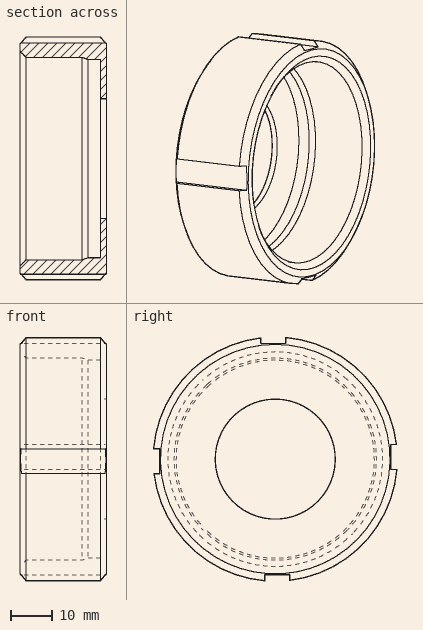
import cadquery as cq

WIDTH = 21.0
OUTER_RADIUS = 29.575
RIM_CHAMFER_LENGTH = 1.5
RIM_CHAMFER_HEIGHT = 1.8

MOUTH_RADIUS = 26.0
MOUTH_CHAMFER_LENGTH = 1.5
BORE_RADIUS = 24.5
BORE_END = 15.0
SEAT_RADIUS = 24.0
SEAT_CONE_LENGTH = 1.5
END_WALL = 1.5
HOLE_RADIUS = 14.5

NOTCH_COUNT = 4
NOTCH_WIDTH = 6.0
NOTCH_FLOOR_RADIUS = 28.0
NOTCH_OFFSET = 0.5


def ring_body():
    """Revolve the half section; points are (axial, radial)."""
    face_radius = OUTER_RADIUS - RIM_CHAMFER_HEIGHT
    wall_face = WIDTH - END_WALL
    section = [
        (0, MOUTH_RADIUS),
        (0, face_radius),
        (RIM_CHAMFER_LENGTH, OUTER_RADIUS),
        (WIDTH - RIM_CHAMFER_LENGTH, OUTER_RADIUS),
        (WIDTH, face_radius),
        (WIDTH, HOLE_RADIUS),
        (wall_face, HOLE_RADIUS),
        (wall_face, SEAT_RADIUS),
        (BORE_END + SEAT_CONE_LENGTH, SEAT_RADIUS),
        (BORE_END, BORE_RADIUS),
        (MOUTH_CHAMFER_LENGTH, BORE_RADIUS),
    ]
    return cq.Workplane("XZ").polyline(section).close().revolve(360, (0, 0, 0), (1, 0, 0))


def notch_cutter():
    """Box that cuts the +Z notch through the full width."""
    height = OUTER_RADIUS - NOTCH_FLOOR_RADIUS
    return (
        cq.Workplane("XY")
        .box(WIDTH, NOTCH_WIDTH, 2 * height, centered=(False, True, False))
        .translate((0, -NOTCH_OFFSET, NOTCH_FLOOR_RADIUS))
    )


result = ring_body()
for index in range(NOTCH_COUNT):
    angle = index * 360 / NOTCH_COUNT
    result = result.cut(notch_cutter().rotate((0, 0, 0), (1, 0, 0), angle))